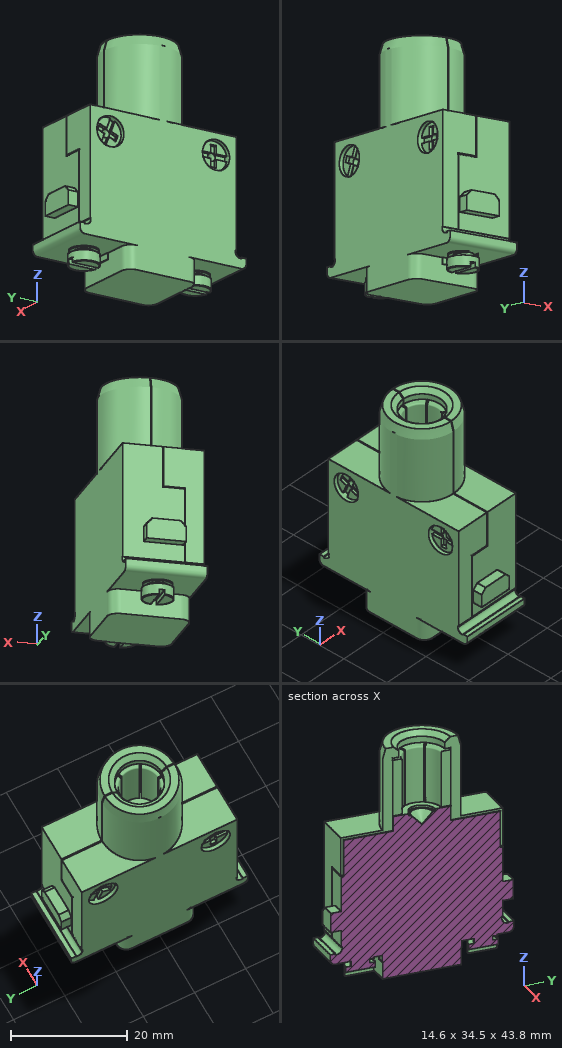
import cadquery as cq
import math

width = 14.6
body_length = 30.4
flange_length = 34.5
total_height = 43.75
body_top = 28.3
flange_bottom = 4.45
flange_top = 6.5
flange_edge_radius = 1.0
relief_radius = 1.0
relief_step = 0.18
relief_land = 0.2
relief_axis_y = body_length / 2 - relief_step + relief_radius
relief_axis_z = flange_top - relief_step + relief_radius

plug_length = 14.75
plug_corner_radius = 1.92
plug_pad_width = 2.62
plug_pad_step = 0.15
plug_pad_bottom = 3.3

tab_width = 7.1
tab_bottom = 10.68
tab_top = 14.4
tab_chamfer = 1.0
tab_reach = 17.15

barrel_diameter = 14.7
rim_diameter = 13.6
rim_chamfer_height = 1.92
mouth_diameter = 10.65
throat_diameter = 8.58
groove_diameter = 10.95
bore_diameter = 7.3
contact_diameter = 4.8
contact_cone_diameter = 4.05
mouth_depth = 0.9
groove_start_depth = 2.1
sleeve_depth = 2.55
sleeve_lip_radius = 0.3
bore_depth = 13.12
contact_step = 0.45
slit_count = 6
slit_width = 0.3

seam_width = 0.18
seam_depth = 0.45
seam_step_z = 21.05
seam_offset_x = -3.85
seam_bottom = relief_axis_z + relief_land

foot_screw_y = 11.55
foot_head_diameter = 5.6
foot_head_bottom = 1.6
foot_head_top = 3.65
foot_head_chamfer = 0.15
foot_neck_diameter = 3.5
foot_slot_width = 1.0
foot_slot_depth = 0.9
washer_diameter = 5.25
washer_thickness = 0.2
washer_gap_start = -0.8
washer_gap_end = 1.75

shell_screw_y = 11.0
shell_screw_z = 24.2
shell_recess_diameter = 5.6
shell_recess_depth = 0.8
shell_head_diameter = 5.5
shell_slot_width = 1.0
cross_slot_width = 1.15
cross_slot_length = 4.05
shell_slot_depth = 0.65
dimple_diameter = 1.55
dimple_depth = 0.75
shell_screw_turns = {shell_screw_y: 68.0, -shell_screw_y: 0.0}

half_width = width / 2
overlap = 0.45


def box(x, y, z):
    """Box from its (low, high) ranges along X, Y and Z."""
    return (
        cq.Workplane("XY")
        .box(x[1] - x[0], y[1] - y[0], z[1] - z[0], centered=False)
        .translate((x[0], y[0], z[0]))
    )


def upright_cylinder(diameter, bottom, top, y=0.0):
    return cq.Workplane("XY", origin=(0, y, bottom)).circle(diameter / 2).extrude(top - bottom)


def make_relief():
    """Quarter-round groove along X in the corner above the +Y flange."""
    inner_y = relief_axis_y - relief_radius
    bottom_z = relief_axis_z - relief_radius
    diagonal = relief_radius * math.sqrt(0.5)
    return (
        cq.Workplane("YZ", origin=(-half_width, 0, 0))
        .moveTo(inner_y, relief_axis_z + relief_land)
        .lineTo(inner_y, relief_axis_z)
        .threePointArc(
            (relief_axis_y - diagonal, relief_axis_z - diagonal),
            (relief_axis_y, bottom_z),
        )
        .lineTo(relief_axis_y + relief_land, bottom_z)
        .lineTo(relief_axis_y + relief_land, relief_axis_z + relief_land)
        .close()
        .extrude(width)
    )


def make_housing():
    x_range = (-half_width, half_width)
    block = box(x_range, (-body_length / 2, body_length / 2), (flange_bottom, body_top))
    foot = (
        box(x_range, (-flange_length / 2, flange_length / 2), (flange_bottom, flange_top))
        .edges("|X and <Z")
        .fillet(flange_edge_radius)
    )
    corner_fill = box(x_range, (-relief_axis_y, relief_axis_y), (flange_top - relief_step, relief_axis_z))
    relief = make_relief()
    return block.union(foot).union(corner_fill).cut(relief).cut(relief.mirror("XZ"))


def make_plug():
    plug = (
        cq.Workplane("XY")
        .rect(width, plug_length)
        .extrude(flange_bottom + overlap)
        .edges("|Z")
        .fillet(plug_corner_radius)
    )
    pad_reach = plug_length / 2 + plug_pad_step
    pad = box(
        (-plug_pad_width / 2, plug_pad_width / 2),
        (-pad_reach, pad_reach),
        (plug_pad_bottom, flange_bottom + overlap),
    )
    return plug.union(pad)


def make_tabs():
    tabs = box(
        (-tab_width / 2, tab_width / 2),
        (-tab_reach, tab_reach),
        (tab_bottom, tab_top),
    )
    return tabs.edges("|Y and >Z").chamfer(tab_chamfer)


def make_barrel():
    shoulder = total_height - rim_chamfer_height
    profile = [
        (0, body_top - overlap),
        (barrel_diameter / 2, body_top - overlap),
        (barrel_diameter / 2, shoulder),
        (rim_diameter / 2, total_height),
        (0, total_height),
    ]
    barrel = cq.Workplane("XZ").polyline(profile).close().revolve(360, (0, 0, 0), (0, 1, 0))
    side_limit = box(
        (-half_width, half_width),
        (-barrel_diameter, barrel_diameter),
        (0, total_height),
    )
    return barrel.intersect(side_limit)


def make_bore():
    """Conical mouth, throat, groove above the sleeve, bore and the coned contact hole."""
    groove_top = total_height - groove_start_depth
    sleeve_top = total_height - sleeve_depth
    floor = total_height - bore_depth
    contact_floor = floor - contact_step
    bore_radius = bore_diameter / 2
    lip_mid = sleeve_lip_radius * (1 - math.sqrt(0.5))
    return (
        cq.Workplane("XZ")
        .moveTo(0, total_height)
        .lineTo(mouth_diameter / 2, total_height)
        .lineTo(throat_diameter / 2, total_height - mouth_depth)
        .lineTo(throat_diameter / 2, groove_top)
        .lineTo(groove_diameter / 2, groove_top)
        .lineTo(groove_diameter / 2, sleeve_top)
        .lineTo(bore_radius + sleeve_lip_radius, sleeve_top)
        .threePointArc(
            (bore_radius + lip_mid, sleeve_top - lip_mid),
            (bore_radius, sleeve_top - sleeve_lip_radius),
        )
        .lineTo(bore_radius, floor)
        .lineTo(contact_diameter / 2, floor)
        .lineTo(contact_diameter / 2, contact_floor)
        .lineTo(contact_cone_diameter / 2, contact_floor)
        .lineTo(0, contact_floor - contact_cone_diameter / 2)
        .close()
        .revolve(360, (0, 0, 0), (0, 1, 0))
    )


def make_sleeve_slits():
    """Radial slits through the sleeve wall, from its top down to the bore floor."""
    slits = cq.Workplane("XY")
    for index in range(slit_count):
        slit = box(
            (-slit_width / 2, slit_width / 2),
            (0, groove_diameter / 2),
            (total_height - bore_depth, total_height - sleeve_depth),
        )
        slits = slits.union(slit.rotate((0, 0, 0), (0, 0, 1), index * 360 / slit_count))
    return slits


def make_seam():
    """Parting groove: through the barrel wall, over the top and stepped down both ends."""
    half_seam = seam_width / 2
    middle = (-half_seam, half_seam)
    groove_floor = body_top - seam_depth
    reach = (-body_length / 2, body_length / 2)
    sleeve = upright_cylinder(groove_diameter, groove_floor, total_height - sleeve_depth)
    seam = box(middle, reach, (groove_floor, total_height)).cut(sleeve)
    for side in (-1, 1):
        ends = sorted((side * body_length / 2, side * (body_length / 2 - seam_depth)))
        upper = box(middle, ends, (seam_step_z - half_seam, body_top))
        step = box(
            (seam_offset_x - half_seam, half_seam),
            ends,
            (seam_step_z - half_seam, seam_step_z + half_seam),
        )
        lower = box(
            (seam_offset_x - half_seam, seam_offset_x + half_seam),
            ends,
            (seam_bottom, seam_step_z),
        )
        seam = seam.union(upper).union(step).union(lower)
    return seam


def make_foot_screw(y):
    """Slotted cheese-head screw with a split washer under the flange."""
    head_radius = foot_head_diameter / 2
    head = upright_cylinder(foot_head_diameter, foot_head_bottom, foot_head_top, y)
    head = head.faces("<Z").chamfer(foot_head_chamfer)
    slot = box(
        (-foot_slot_width / 2, foot_slot_width / 2),
        (y - head_radius, y + head_radius),
        (foot_head_bottom, foot_head_bottom + foot_slot_depth),
    )
    washer_bottom = flange_bottom - washer_thickness
    washer = upright_cylinder(washer_diameter, washer_bottom, flange_bottom + overlap, y)
    gap = box(
        (washer_gap_start, washer_gap_end),
        (y - washer_diameter / 2, y),
        (washer_bottom, flange_bottom),
    )
    neck = upright_cylinder(foot_neck_diameter, foot_head_top - overlap, flange_bottom + overlap, y)
    return head.cut(slot).union(washer.cut(gap)).union(neck)


def shell_screw_face(y, turn, depth):
    """Workplane facing -X at a depth below the side, turned with the screw."""
    plane = cq.Plane(
        origin=(-half_width + depth, y, shell_screw_z),
        xDir=(0, -1, 0),
        normal=(-1, 0, 0),
    )
    return cq.Workplane(plane.rotated((0, 0, turn)))


def make_shell_screw_recess(y):
    depth = shell_recess_depth + shell_slot_depth
    return shell_screw_face(y, 0, 0).circle(shell_recess_diameter / 2).extrude(-depth)


def make_shell_screw_head(y, turn):
    """Sunk head with two crossing slots, standing free of the recess wall."""
    head_face = shell_screw_face(y, turn, shell_recess_depth)
    head = head_face.circle(shell_head_diameter / 2).extrude(-shell_slot_depth - overlap)
    long_slot = head_face.rect(shell_recess_diameter, shell_slot_width).extrude(-shell_slot_depth)
    cross_slot = head_face.rect(cross_slot_width, cross_slot_length).extrude(-shell_slot_depth)
    return head.cut(long_slot).cut(cross_slot)


def make_shell_screw_dimple(y):
    """Round pocket as deep as the slots, ending in a cone."""
    pocket = (
        shell_screw_face(y, 0, shell_recess_depth)
        .circle(dimple_diameter / 2)
        .extrude(-shell_slot_depth)
    )
    cone_start = cq.Vector(-half_width + shell_recess_depth + shell_slot_depth, y, shell_screw_z)
    cone = cq.Solid.makeCone(dimple_diameter / 2, 0, dimple_depth, cone_start, cq.Vector(1, 0, 0))
    return pocket.union(cq.Workplane(cone))


result = make_housing().union(make_plug()).union(make_tabs()).union(make_barrel())
result = result.cut(make_bore()).cut(make_sleeve_slits()).cut(make_seam())
for side in (-1, 1):
    result = result.union(make_foot_screw(side * foot_screw_y))
for screw_y, turn in shell_screw_turns.items():
    result = result.cut(make_shell_screw_recess(screw_y))
    result = result.union(make_shell_screw_head(screw_y, turn))
    result = result.cut(make_shell_screw_dimple(screw_y))